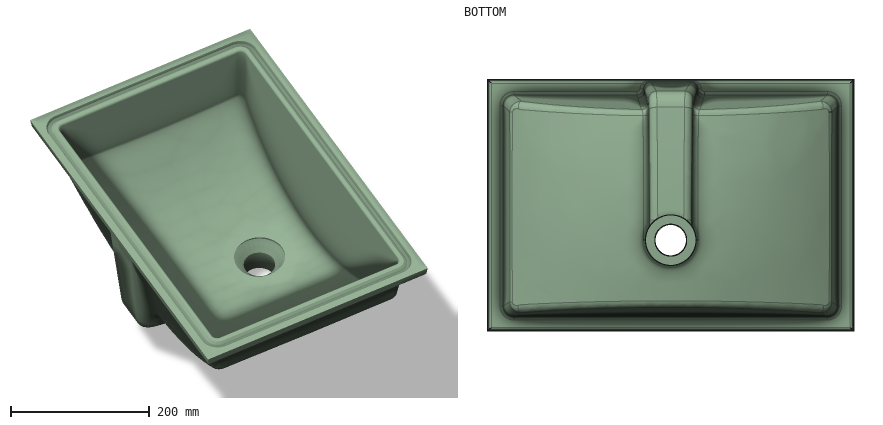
import cadquery as cq
import math

RIM_LENGTH = 527.5
RIM_WIDTH = 362.5
RIM_THICKNESS = 15.5
RIM_DRAFT = 8.0
RIM_EDGE_ROUND = 3.5

GROOVE_INSET = 10.5
GROOVE_WIDTH = 11.0
GROOVE_FLOOR_WIDTH = 5.0
GROOVE_OUTER_RUN = 1.5
GROOVE_DEPTH = 3.5
GROOVE_CORNER = 25.5

BODY_HALF_LENGTH = 245.0
BODY_HALF_WIDTH = 162.5
BODY_CORNER = 16.0
BODY_END_DRAFT = 10.0
BODY_BACK_DRAFT = 5.8
BODY_FRONT_DRAFT = 9.4
BODY_EDGE_ROUND = 11.5
RIM_BLEND = 5.0

BASIN_HALF_LENGTH = 234.5
BASIN_HALF_WIDTH = 153.5
BASIN_CORNER = 8.5
BASIN_END_DRAFT = 11.0
BASIN_BACK_DRAFT = 7.3
BASIN_FRONT_DRAFT = 11.8
BASIN_EDGE_ROUND = 4.0
BASIN_LIP_ROUND = 3.0

FLOOR_THICKNESS = 10.5
UNDERSIDE_DEPTH = 176.0
UNDERSIDE_FRONT_DEPTH = 144.0
UNDERSIDE_BACK_DEPTH = 158.0
UNDERSIDE_END_DEPTH = 77.5
FLOOR_END_X = 231.0
FLOOR_FRONT_Y = -184.5
FLOOR_BACK_Y = 169.0
WALL_DEPTH = 190.0

DRAIN_Y = 50.0
DRAIN_OUTER_DIAMETER = 73.0
DRAIN_BORE_DIAMETER = 45.5
DRAIN_SEAT_DIAMETER = 74.0
DRAIN_SEAT_DEPTH = 14.0
PART_HEIGHT = 213.0

RIB_TOP_Y = -179.5
RIB_HEEL_Y = -162.5
RIB_HEEL_DEPTH = 182.5
RIB_MIDDLE_Y = -68.5
RIB_MIDDLE_DEPTH = 200.0
RIB_TOE_Y = 21.0
RIB_TOE_DEPTH = 210.0
RIB_TOP_HALF_WIDTH = 40.5
RIB_BOTTOM_HALF_WIDTH = 29.0
RIB_HEEL_ROUND = 29.0
RIB_EDGE_ROUND = 11.0
RIB_SIDE_BLEND = 9.5
SLOT_LENGTH = 37.5
SLOT_HEIGHT = 12.5
SLOT_CENTER_Z = -37.0
SLOT_END_Y = -154.0
SLOT_INNER_Y = -127.5

OVERLAP = 5.5
TOLERANCE = 0.05


def drafted_box(half_length, half_width, corner, top, end_draft, back_draft, front_draft):
    """Rounded box narrowing downwards, with its own draft on the ends, back and front."""
    wires = []
    for z in (top, -WALL_DEPTH):
        end_x = half_length + z * math.tan(math.radians(end_draft))
        back_y = half_width + z * math.tan(math.radians(back_draft))
        front_y = -half_width - z * math.tan(math.radians(front_draft))
        section = cq.Sketch().rect(2 * end_x, back_y - front_y).vertices().fillet(corner)
        wires.append(section.moved(cq.Location(cq.Vector(0, (back_y + front_y) / 2, z))))
    return cq.Workplane("XY").placeSketch(*wires).loft(ruled=True)


def above_floor(rise):
    """Space above the curved floor, lifted by rise from the underside."""
    half = RIM_LENGTH / 2
    stations = (
        (FLOOR_FRONT_Y, UNDERSIDE_FRONT_DEPTH),
        (DRAIN_Y, UNDERSIDE_DEPTH),
        (FLOOR_BACK_Y, UNDERSIDE_BACK_DEPTH),
    )
    wires = []
    for y, depth in stations:
        sag = depth - UNDERSIDE_END_DEPTH
        radius = (FLOOR_END_X**2 + sag**2) / (2 * sag)
        side_z = radius - math.sqrt(radius**2 - half**2) - depth + rise
        section = (
            cq.Workplane("XZ", origin=(0, y, 0))
            .moveTo(-half, side_z)
            .threePointArc((0, rise - depth), (half, side_z))
            .lineTo(half, OVERLAP)
            .lineTo(-half, OVERLAP)
            .close()
        )
        wires.append(section.val())
    return cq.Workplane(cq.Solid.makeLoft(wires, False))


def make_rim():
    """Flat flange with drafted sides and a rounded lower edge."""
    slab = cq.Workplane("XY").rect(RIM_LENGTH, RIM_WIDTH).extrude(-RIM_THICKNESS, taper=RIM_DRAFT)
    return slab.faces("<Z").edges().fillet(RIM_EDGE_ROUND)


def make_body():
    """Solid outer form of the bowl."""
    walls = drafted_box(BODY_HALF_LENGTH, BODY_HALF_WIDTH, BODY_CORNER, -RIM_EDGE_ROUND,
                        BODY_END_DRAFT, BODY_BACK_DRAFT, BODY_FRONT_DRAFT)
    body = walls.intersect(above_floor(0))
    return body.faces("<Z").edges().fillet(BODY_EDGE_ROUND)


def make_basin():
    """Space inside the bowl."""
    walls = drafted_box(BASIN_HALF_LENGTH, BASIN_HALF_WIDTH, BASIN_CORNER, 0,
                        BASIN_END_DRAFT, BASIN_BACK_DRAFT, BASIN_FRONT_DRAFT)
    basin = walls.intersect(above_floor(FLOOR_THICKNESS))
    return basin.faces("<Z").edges().fillet(BASIN_EDGE_ROUND)


def make_rib():
    """Channel that runs down the front wall and back under the floor to the drain."""
    side = (
        cq.Workplane("YZ", origin=(-RIB_TOP_HALF_WIDTH, 0, 0))
        .moveTo(RIB_TOP_Y, -RIM_EDGE_ROUND)
        .lineTo(RIB_HEEL_Y, -RIB_HEEL_DEPTH)
        .threePointArc((RIB_MIDDLE_Y, -RIB_MIDDLE_DEPTH), (RIB_TOE_Y, -RIB_TOE_DEPTH))
        .lineTo(DRAIN_Y, -RIB_TOE_DEPTH)
        .lineTo(DRAIN_Y, -RIM_EDGE_ROUND)
        .close()
        .extrude(2 * RIB_TOP_HALF_WIDTH)
    )
    front = (
        cq.Workplane("XZ", origin=(0, RIM_WIDTH / 2, 0))
        .moveTo(-RIB_TOP_HALF_WIDTH, 0)
        .lineTo(-RIB_BOTTOM_HALF_WIDTH, -PART_HEIGHT)
        .lineTo(RIB_BOTTOM_HALF_WIDTH, -PART_HEIGHT)
        .lineTo(RIB_TOP_HALF_WIDTH, 0)
        .close()
        .extrude(RIM_WIDTH)
    )
    rib = side.intersect(front)
    heel = cq.selectors.NearestToPointSelector((0, RIB_HEEL_Y, -RIB_HEEL_DEPTH))
    rib = rib.edges(heel).fillet(RIB_HEEL_ROUND)
    return rib.faces("<Y").edges("not |X").fillet(RIB_EDGE_ROUND)


def make_groove():
    """Ring with a steep outer wall, a flat floor and a sloping inner wall."""
    def ring_section(inset, z):
        """Rounded rectangle set in from the rim's outer edge."""
        section = (
            cq.Sketch()
            .rect(RIM_LENGTH - 2 * inset, RIM_WIDTH - 2 * inset)
            .vertices()
            .fillet(GROOVE_CORNER + GROOVE_INSET - inset)
        )
        return section.moved(cq.Location(cq.Vector(0, 0, z)))

    floor_start = GROOVE_INSET + GROOVE_OUTER_RUN
    floor_end = floor_start + GROOVE_FLOOR_WIDTH
    inner_edge = GROOVE_INSET + GROOVE_WIDTH
    outer = (
        cq.Workplane("XY")
        .placeSketch(ring_section(GROOVE_INSET, 0), ring_section(floor_start, -GROOVE_DEPTH))
        .loft(ruled=True)
    )
    island = (
        cq.Workplane("XY")
        .placeSketch(ring_section(inner_edge, 0), ring_section(floor_end, -GROOVE_DEPTH))
        .loft(ruled=True)
    )
    return outer.cut(island)


def make_drain_bore():
    """Conical seat in the floor and the bore below it."""
    floor_z = FLOOR_THICKNESS - UNDERSIDE_DEPTH
    seat_radius = DRAIN_SEAT_DIAMETER / 2
    bore_radius = DRAIN_BORE_DIAMETER / 2
    return (
        cq.Workplane("XZ", origin=(0, DRAIN_Y, 0))
        .moveTo(0, floor_z + OVERLAP)
        .lineTo(seat_radius, floor_z + OVERLAP)
        .lineTo(seat_radius, floor_z)
        .lineTo(bore_radius, floor_z - DRAIN_SEAT_DEPTH)
        .lineTo(bore_radius, -PART_HEIGHT)
        .lineTo(0, -PART_HEIGHT)
        .close()
        .revolve(360, (0, 0, 0), (0, 1, 0))
    )


def make_overflow_slot():
    """Blind slot cut into the front wall from inside the basin."""
    depth = SLOT_INNER_Y - SLOT_END_Y
    slot = cq.Workplane("XY", origin=(0, SLOT_END_Y, SLOT_CENTER_Z))
    return slot.box(SLOT_LENGTH, depth, SLOT_HEIGHT, centered=(True, False, True))


def make_drain_tube():
    """Solid outlet below the floor."""
    height = PART_HEIGHT - UNDERSIDE_DEPTH + FLOOR_THICKNESS
    tube = cq.Workplane("XY", origin=(0, DRAIN_Y, -PART_HEIGHT))
    return tube.circle(DRAIN_OUTER_DIAMETER / 2).extrude(height)


def edges_in_box(low, high, whole=True):
    """Selector for edges that lie inside a box, or only have their centre in it."""
    return cq.selectors.BoxSelector(low, high, boundingbox=whole)


def edges_at_height(z):
    """Selector for level edges at height z, leaving out the rim's outer edges."""
    return edges_in_box(
        (-RIM_LENGTH / 2 + OVERLAP, -RIM_WIDTH / 2 + OVERLAP, z - TOLERANCE),
        (RIM_LENGTH / 2 - OVERLAP, RIM_WIDTH / 2 - OVERLAP, z + TOLERANCE),
    )


result = make_body().union(make_rib())
upright_seams = edges_in_box(
    (-RIB_TOP_HALF_WIDTH, -BODY_HALF_WIDTH, -WALL_DEPTH / 2),
    (RIB_TOP_HALF_WIDTH, 0, -WALL_DEPTH / 4),
    whole=False,
)
result = result.edges(upright_seams).edges("%BSPLINE").fillet(RIB_SIDE_BLEND)

result = result.union(make_rim())
result = result.edges(edges_at_height(-RIM_THICKNESS)).fillet(RIM_BLEND)

result = result.union(make_drain_tube())
result = result.cut(make_basin())
result = result.edges(edges_at_height(0)).fillet(BASIN_LIP_ROUND)
for tool in (make_groove(), make_drain_bore(), make_overflow_slot()):
    result = result.cut(tool)